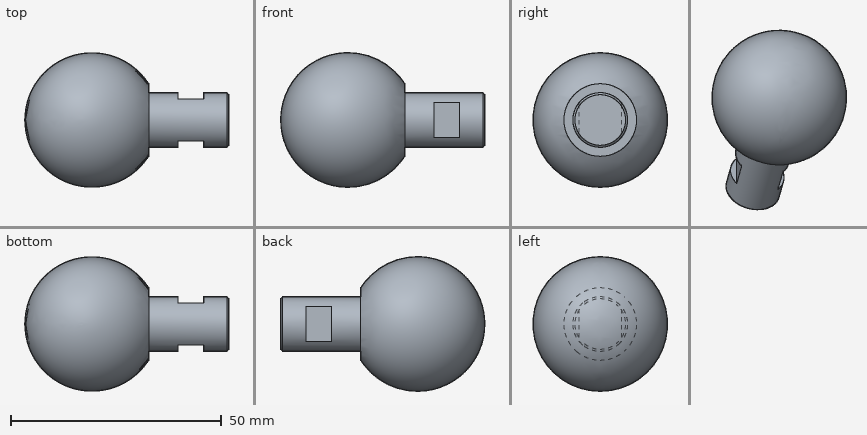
import cadquery as cq

overall_length = 48.5
ball_radius = 16.0
shank_diameter = 13.0
shank_length = 19.0
end_chamfer = 0.5

flat_length = 6.0
flat_end_distance = 6.0
across_flats = 10.0

shank_end = overall_length - ball_radius
shoulder = shank_end - shank_length


def make_ball():
    """Sphere cut square at the shoulder where the shank begins."""
    ball = cq.Workplane("XY").sphere(ball_radius)
    ball_length = ball_radius + shoulder
    keep = (
        cq.Workplane("XY")
        .box(ball_length, 2 * ball_radius, 2 * ball_radius)
        .translate((shoulder - ball_length / 2, 0, 0))
    )
    return ball.intersect(keep)


def make_shank():
    """Cylinder from the ball centre to the chamfered free end."""
    return (
        cq.Workplane("YZ")
        .circle(shank_diameter / 2)
        .extrude(shank_end)
        .faces(">X")
        .chamfer(end_chamfer)
    )


def make_flat_cutter(side):
    """Block that removes the shank beyond one flat; side is +1 or -1 along Y."""
    center_x = shank_end - flat_end_distance - flat_length / 2
    center_y = side * (across_flats + shank_diameter) / 2
    return (
        cq.Workplane("XY")
        .box(flat_length, shank_diameter, shank_diameter)
        .translate((center_x, center_y, 0))
    )


result = make_ball().union(make_shank())
for side in (-1, 1):
    result = result.cut(make_flat_cutter(side))